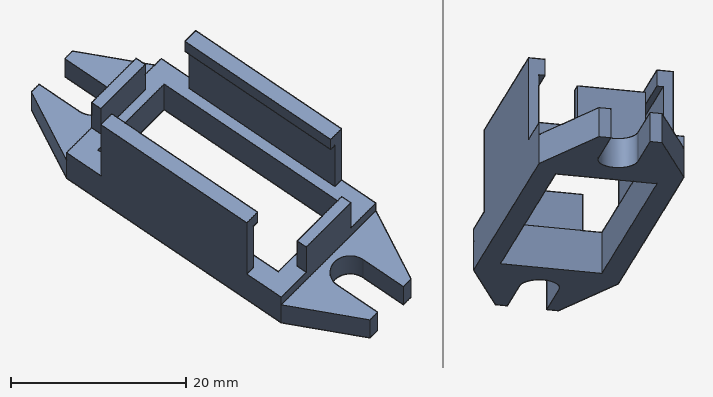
import cadquery as cq

total_length = 50.05
width = 17.0
total_height = 15.25

frame_length = 31.75
frame_height = 5.1
window_length = 26.65
window_width = 11.9

ear_height = 3.6
ear_tip_width = 7.4
slot_width = 4.6
slot_depth = 8.25

side_wall_length = 21.55
side_wall_thickness = 1.2
lip_width = 1.95
lip_height = 2.0

end_tab_thickness = 1.35
end_tab_width = 8.0
end_tab_top = 10.1


def box(length, depth, bottom, top, x=0.0, y=0.0):
    """Box centred on (x, y), spanning bottom to top in Z."""
    return cq.Workplane("XY", origin=(x, y, bottom)).rect(length, depth).extrude(top - bottom)


def mounting_base():
    """Rectangular frame with a tapered, slotted ear at each end."""
    ears = (
        cq.Workplane("XY")
        .moveTo(total_length / 2, -ear_tip_width / 2)
        .lineTo(total_length / 2, ear_tip_width / 2)
        .lineTo(frame_length / 2, width / 2)
        .lineTo(-frame_length / 2, width / 2)
        .lineTo(-total_length / 2, ear_tip_width / 2)
        .lineTo(-total_length / 2, -ear_tip_width / 2)
        .lineTo(-frame_length / 2, -width / 2)
        .lineTo(frame_length / 2, -width / 2)
        .close()
        .extrude(ear_height)
    )
    base = ears.union(box(frame_length, width, 0, frame_height))
    base = base.cut(box(window_length, window_width, 0, frame_height))
    slots = (
        cq.Workplane("XY")
        .pushPoints([(-total_length / 2, 0), (total_length / 2, 0)])
        .slot2D(2 * slot_depth, slot_width)
        .extrude(ear_height)
    )
    return base.cut(slots)


def side_wall(side):
    """Tall wall flush with a long side, with an inward lip along its top."""
    wall_y = side * (width - side_wall_thickness) / 2
    lip_y = side * (width - lip_width) / 2
    wall = box(side_wall_length, side_wall_thickness, frame_height, total_height, y=wall_y)
    lip = box(side_wall_length, lip_width, total_height - lip_height, total_height, y=lip_y)
    return wall.union(lip)


def end_tab(side):
    """Short upright tab flush with an end of the frame."""
    tab_x = side * (frame_length - end_tab_thickness) / 2
    return box(end_tab_thickness, end_tab_width, frame_height, end_tab_top, x=tab_x)


result = mounting_base()
for side in (-1, 1):
    result = result.union(side_wall(side)).union(end_tab(side))